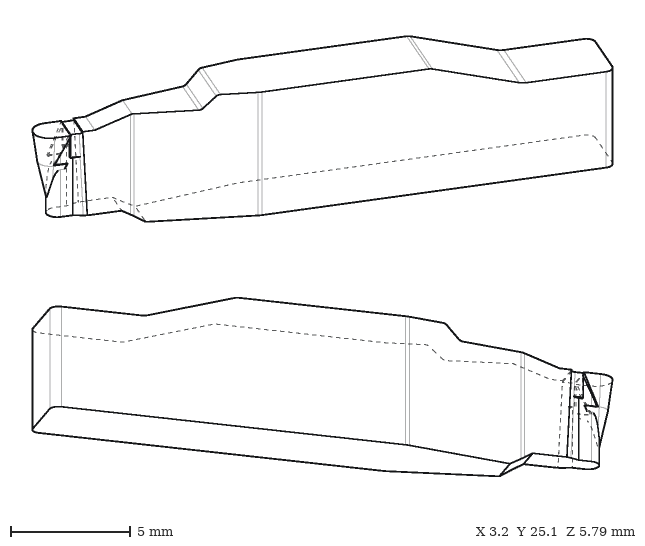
import cadquery as cq
import math

length = 25.05
body_width = 3.2
body_height = 5.79

tail_height = 4.5
tail_ramp_start = 21.0
tail_ramp_end = 16.95
clamp_step_start = 7.72
clamp_step_end = 7.01
clamp_step_height = 5.1
neck_top_height = 4.58
neck_ramp_end = 2.5
bottom_ramp_start = 4.7
bottom_ramp_end = 3.68
nose_bottom = 0.63

taper_start = 9.47
taper_end = 4.13
neck_width = 1.35
neck_end_width = 1.3
neck_end_top = 1.98
neck_end_bottom = 2.18
tail_corner_radius = 0.4
soft_edge_radius = 1.0
step_edge_radius = 0.25
ramp_edge_radius = 0.5

head_height = 4.5
head_radius = 0.73
head_back = 1.45
land_depth = 1.4
land_angle = 8.0
head_underside_y = 0.4
head_underside_z = 2.35
stem_radius = 0.48
stem_tip = 0.58
stem_height = 3.85
relief_depth = 1.9
relief_angle = 12.5
relief_back = 1.35
relief_front = 0.48
relief_underside_z = 1.2
stem_ramp_end = 1.6
root_arc_length = 0.18
root_arc_inset = 0.03
shoulder_bottom = 3.4
shoulder_width = 1.25
shoulder_length = 0.5


def round_nose(tip_y, back_y, radius, z):
    """Closed outline with a full-round front end, on a level plane."""
    center_y = tip_y + radius
    return (
        cq.Workplane("XY", origin=(0, 0, z))
        .moveTo(-radius, back_y)
        .lineTo(-radius, center_y)
        .threePointArc((0, tip_y), (radius, center_y))
        .lineTo(radius, back_y)
        .close()
    )


def side_prism(points):
    """Extrude a (Y, Z) outline across the whole width of the body."""
    return cq.Workplane("YZ").polyline(points).close().extrude(body_width / 2, both=True)


def make_shank():
    profile = side_prism([
        (length, 0),
        (length, tail_height),
        (tail_ramp_start, tail_height),
        (tail_ramp_end, body_height),
        (clamp_step_start, body_height),
        (clamp_step_end, clamp_step_height),
        (taper_end, clamp_step_height),
        (neck_ramp_end, neck_top_height),
        (neck_end_top, neck_top_height),
        (neck_end_bottom, nose_bottom),
        (bottom_ramp_end, nose_bottom),
        (bottom_ramp_start, 0),
    ])

    def round_cross_edge(solid, y, z, radius):
        edge = cq.selectors.NearestToPointSelector((0, y, z))
        return solid.edges("|X").edges(edge).fillet(radius)

    profile = round_cross_edge(profile, tail_ramp_start, tail_height, soft_edge_radius)
    profile = round_cross_edge(profile, tail_ramp_end, body_height, ramp_edge_radius)
    profile = round_cross_edge(profile, clamp_step_start, body_height, step_edge_radius)
    profile = round_cross_edge(profile, clamp_step_end, clamp_step_height, step_edge_radius)

    right_side = [
        (neck_end_width / 2, 0),
        (neck_width / 2, taper_end),
        (body_width / 2, taper_start),
        (body_width / 2, length),
    ]
    left_side = [(-x, y) for x, y in reversed(right_side)]
    plan = cq.Workplane("XY").polyline(right_side + left_side).close().extrude(body_height)
    plan = plan.edges("|Z and >Y").fillet(tail_corner_radius)
    for y, half_width in ((taper_start, body_width / 2), (taper_end, neck_width / 2)):
        for side in (-1, 1):
            corner = cq.selectors.NearestToPointSelector((side * half_width, y, body_height / 2))
            plan = plan.edges("|Z").edges(corner).fillet(soft_edge_radius)
    return profile.intersect(plan)


def make_head():
    """Cutting head with side clearance, cut off underneath by a sloping plane."""
    head = round_nose(0, neck_end_bottom, head_radius, head_height)
    head = head.extrude(-land_depth, taper=land_angle)
    return head.intersect(side_prism([
        (0, head_height),
        (head_back, head_height),
        (head_underside_y, head_underside_z),
        (0, head_underside_z),
    ]))


def make_relief():
    """Steeper clearance cone that fades into the stem below the land."""
    land_inset = land_depth * math.tan(math.radians(land_angle))
    outline = round_nose(land_inset, head_back, head_radius - land_inset, head_height - land_depth)
    relief = outline.extrude(-relief_depth, taper=relief_angle)
    return relief.intersect(side_prism([
        (0, head_height - land_depth),
        (relief_back, head_height - land_depth),
        (relief_front, relief_underside_z),
        (0, relief_underside_z),
    ]))


def make_stem():
    return round_nose(stem_tip, neck_ramp_end, stem_radius, nose_bottom).extrude(stem_height)


def root_outline(start_y, z):
    """Neck side rounded over by an arc, then narrowing straight to the stem."""
    half_width = neck_end_width / 2
    arc_end = (half_width - root_arc_inset, start_y - root_arc_length)
    arc_middle = (half_width - root_arc_inset / 4, start_y - root_arc_length / 2)
    return (
        cq.Workplane("XY", origin=(0, 0, z))
        .moveTo(-half_width, start_y)
        .threePointArc((-arc_middle[0], arc_middle[1]), (-arc_end[0], arc_end[1]))
        .lineTo(-stem_radius, stem_ramp_end)
        .lineTo(stem_radius, stem_ramp_end)
        .lineTo(*arc_end)
        .threePointArc(arc_middle, (half_width, start_y))
        .close()
        .wires()
        .val()
    )


def make_neck_root():
    """Narrowing from the neck to the stem, and the wider shoulder behind the head."""
    root = cq.Workplane(obj=cq.Solid.makeLoft([
        root_outline(neck_end_bottom, nose_bottom),
        root_outline(neck_end_top, neck_top_height),
    ], True))
    step = side_prism([
        (0, head_height),
        (neck_end_top, head_height),
        (neck_end_top, body_height),
        (0, body_height),
    ])
    shoulder = (
        cq.Workplane("XY", origin=(0, head_back, shoulder_bottom))
        .box(shoulder_width, shoulder_length, head_height - shoulder_bottom,
             centered=(True, False, False))
    )
    return root.cut(step).union(shoulder)


result = (
    make_shank()
    .union(make_neck_root())
    .union(make_stem())
    .union(make_relief())
    .union(make_head())
)